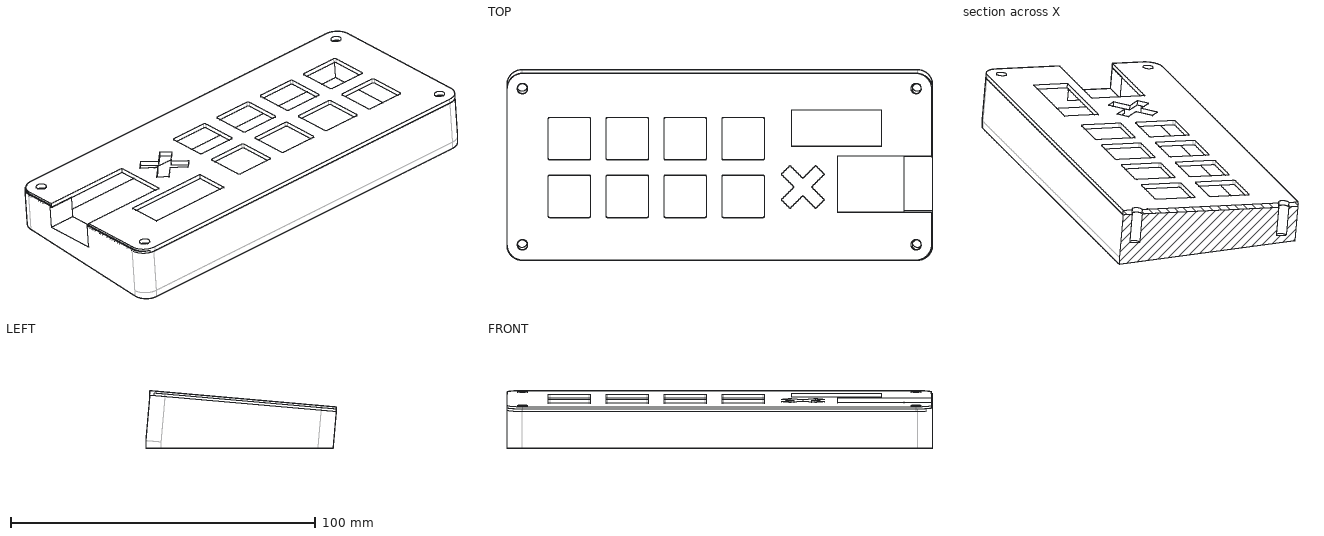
import cadquery as cq
lean_angle = 5.0
back_top_height = 17.5

case_length = 140.0
case_width = 61.6
case_depth = 15.0
rim_height = 0.8
corner_radius = 5.0
case_left = -0.1
case_back = -0.1

end_wall = 9.4
side_wall = 8.7
cavity_depth = 10.0

port_width = 18.5
port_depth = 7.4
port_centre_y = -36.8

screw_diameter = 3.4
screw_inset = 5.0
screw_hole_depth = 10.0

plate_length = 139.5
plate_width = 61.6
plate_thickness = 1.5

key_columns = 4
key_rows = 2
key_pitch = 19.0
key_size = 14.0
key_corner_radius = 0.5
first_key_x = 20.5
back_key_y = -21.5

display_length = 29.5
display_width = 11.9
display_centre_x = 108.2
display_centre_y = -18.0

notch_start_x = 108.5
notch_width = 18.6
notch_centre_y = -36.5

cross_length = 16.0
cross_arm_width = 4.0
cross_centre_x = 97.2
cross_centre_y = -37.5


def place(shape):
    """Turn a Workplane from the lean frame into its final position."""
    return shape.rotate((0, 0, 0), (1, 0, 0), lean_angle).translate((0, 0, back_top_height))


def box_between(x0, x1, y0, y1, z0, z1):
    return cq.Workplane().box(x1 - x0, y1 - y0, z1 - z0, centered=False).translate((x0, y0, z0))


def screw_points(left, back, length, width):
    xs = (left + screw_inset, left + length - screw_inset)
    ys = (back - screw_inset, back - width + screw_inset)
    return [(x, y) for x in xs for y in ys]


def plate_outline():
    outline = box_between(0, plate_length, -plate_width, 0, 0, plate_thickness)
    return outline.edges("|Z").fillet(corner_radius)


def make_case():
    right = case_left + case_length
    front = case_back - case_width
    block = box_between(case_left, right, front, case_back, -case_depth, rim_height)
    block = block.edges("|Z").fillet(corner_radius)
    leaning = place(block)

    outline = place(block.faces("<Z")).val().outerWire()
    skirt = cq.Solid.extrudeLinear(outline, [], cq.Vector(0, 0, -case_depth))
    below_base = box_between(-case_length, 2 * case_length, -2 * case_width, case_width, -2 * case_depth, 0)
    case = leaning.union(cq.Workplane(skirt)).cut(below_base)

    cavity = box_between(
        case_left + end_wall, right - end_wall,
        front + side_wall, case_back - side_wall,
        -cavity_depth, 0,
    )
    port = box_between(
        right - end_wall, right,
        port_centre_y - port_width / 2, port_centre_y + port_width / 2,
        -port_depth, rim_height,
    )
    screws = (
        cq.Workplane()
        .pushPoints(screw_points(case_left, case_back, case_length, case_width))
        .circle(screw_diameter / 2)
        .extrude(-screw_hole_depth)
    )
    case = case.cut(place(plate_outline()))
    return case.cut(place(cavity)).cut(place(port)).cut(place(screws))


def make_plate():
    plate = plate_outline()

    key_points = [
        (first_key_x + column * key_pitch, back_key_y - row * key_pitch)
        for column in range(key_columns)
        for row in range(key_rows)
    ]
    keys = cq.Workplane().pushPoints(key_points).rect(key_size, key_size).extrude(plate_thickness)
    keys = keys.edges("|Z").fillet(key_corner_radius)

    display = (
        cq.Workplane()
        .center(display_centre_x, display_centre_y)
        .rect(display_length, display_width)
        .extrude(plate_thickness)
    )
    notch = box_between(
        notch_start_x, plate_length,
        notch_centre_y - notch_width / 2, notch_centre_y + notch_width / 2,
        0, plate_thickness,
    )
    screws = (
        cq.Workplane()
        .pushPoints(screw_points(0, 0, plate_length, plate_width))
        .circle(screw_diameter / 2)
        .extrude(plate_thickness)
    )
    plate = plate.cut(keys).cut(display).cut(notch).cut(screws)

    for angle in (45, -45):
        arm = cq.Workplane().rect(cross_length, cross_arm_width).extrude(plate_thickness)
        arm = arm.rotate((0, 0, 0), (0, 0, 1), angle).translate((cross_centre_x, cross_centre_y, 0))
        plate = plate.cut(arm)
    return place(plate)


case = make_case()
plate = make_plate()

result = cq.Compound.makeCompound([case.val(), plate.val()])